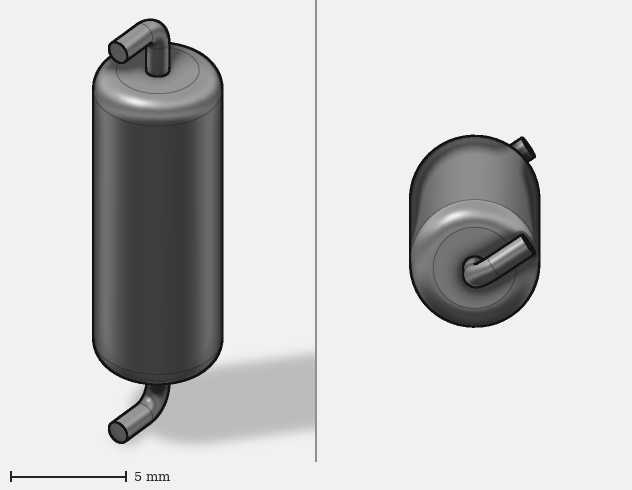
import cadquery as cq

overall_height = 21.0
body_diameter = 5.6
body_length = 15.08
body_edge_radius = 1.0
lead_diameter = 1.0
bend_radius = 1.0

body_radius = body_diameter / 2
lead_radius = lead_diameter / 2
lead_axis_height = (overall_height - lead_diameter) / 2
bend_start_height = lead_axis_height - bend_radius


def make_body():
    """Upright cylinder, centred on the origin, with rounded rims."""
    body = cq.Workplane("XY").cylinder(body_length, body_radius)
    return body.edges("%CIRCLE").fillet(body_edge_radius)


def make_upper_lead():
    """Round wire rising from the body centre and bending to -Y, flush with the body side."""
    path = (
        cq.Workplane("YZ")
        .lineTo(0, bend_start_height)
        .radiusArc((-bend_radius, lead_axis_height), -bend_radius)
        .lineTo(-body_radius, lead_axis_height)
    )
    return cq.Workplane("XY").circle(lead_radius).sweep(path)


upper_lead = make_upper_lead()
lower_lead = upper_lead.mirror("XY")

result = make_body().union(upper_lead).union(lower_lead)